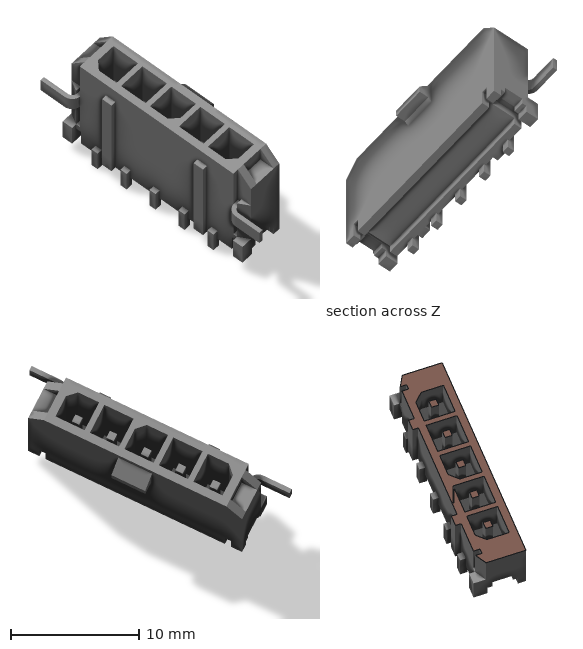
import cadquery as cq


HEIGHT = 9.9
CORE_LENGTH = 15.9
CORE_DEPTH = 3.9
FULL_LENGTH = 18.6
END_DEPTH = 3.35
SHOULDER_Z = 8.51
BACK_Y = CORE_DEPTH / 2
FRONT_Y = -CORE_DEPTH / 2
END_FRONT_Y = BACK_Y - END_DEPTH
CORE_X = CORE_LENGTH / 2
END_X = FULL_LENGTH / 2
WALL = 0.68

STANDOFF = 0.48
PROUD_Y = FRONT_Y - STANDOFF
RIB_WIDTH = 0.97
RIB_SPACING = 9.49

FOOT_WIDTH = 0.97
FOOT_X = END_X - FOOT_WIDTH
FOOT_TOP_Z = 2.04
SLOT_INNER_X = 7.8
SLOT_HEIGHT = 1.5
CHANNEL_HEIGHT = 0.77
CHANNEL_DEPTH = 2.54
WINDOW_TOP_Z = 1.35
WINDOW_DEPTH = 1.72

WEDGE_TOP_Z = 6.38

TAB_SPAN = 22.65
TAB_Z = 5.28
TAB_HEIGHT = 1.31
TAB_THICKNESS = FOOT_X - CORE_X
TAB_FRONT_Y = -2.72
TAB_BEND_RADIUS = 0.9
TAB_EMBED = 0.23

CIRCUITS = 5
PIN_ROW_LENGTH = 12.0
PITCH = PIN_ROW_LENGTH / (CIRCUITS - 1)
CAVITY_SIZE = 2.54
CAVITY_FLOOR_Z = 2.04
KEY_CHAMFER = 0.7
KEYED_CORNERS = {0: -1, 2: 1, 4: 1}
PIN_SIZE = 0.63
PIN_TOP_Z = 7.25
LEG_TOP_Z = 1.02
LEG_BOTTOM_Z = -1.0

LATCH_WIDTH = 2.95
LATCH_REACH = 1.2
LATCH_TOP_Z = 9.3
LATCH_NOSE_TOP_Z = 8.17
LATCH_NOSE_BOTTOM_Z = 7.45
LATCH_ROOT_CHAMFER = 0.35

SIDES = (-1, 1)


def block(x_range, y_range, z_range):
    """Box between two limits on each axis, given in either order."""
    lows = [min(limits) for limits in (x_range, y_range, z_range)]
    sizes = [abs(limits[1] - limits[0]) for limits in (x_range, y_range, z_range)]
    return cq.Workplane("XY").box(*sizes, centered=False).translate(tuple(lows))


def prism(points, z_bottom, z_top):
    """Upright prism over a polygon in XY."""
    return cq.Workplane("XY").workplane(offset=z_bottom).polyline(points).close().extrude(z_top - z_bottom)


def circuit_x(index):
    return (index - (CIRCUITS - 1) / 2) * PITCH


def housing():
    """Core with thinner ends whose upper outer corners slope up to the core."""
    core = block((-CORE_X, CORE_X), (FRONT_Y, BACK_Y), (0, HEIGHT))
    ends = (
        cq.Workplane("XZ", origin=(0, BACK_Y, 0))
        .polyline([
            (-END_X, 0), (END_X, 0), (END_X, SHOULDER_Z),
            (CORE_X, HEIGHT), (-CORE_X, HEIGHT), (-END_X, SHOULDER_Z),
        ])
        .close()
        .extrude(END_DEPTH)
    )
    return core.union(ends)


def end_supports(side):
    """Foot, web joining it to the core, and the tapered wedge above it."""
    foot = block((side * FOOT_X, side * END_X), (PROUD_Y, END_FRONT_Y), (0, FOOT_TOP_Z))
    web = block((side * CORE_X, side * FOOT_X), (FRONT_Y, END_FRONT_Y), (0, FOOT_TOP_Z))
    wedge = prism(
        [(side * FOOT_X, END_FRONT_Y), (side * END_X, END_FRONT_Y), (side * FOOT_X, FRONT_Y)],
        FOOT_TOP_Z, WEDGE_TOP_Z,
    )
    return foot.union(web).union(wedge)


def end_pocket(side):
    """Open pocket in the sloped shoulder, down to the foot of the slope."""
    return block(
        (side * CORE_X, side * END_X),
        (END_FRONT_Y + WALL, BACK_Y - WALL),
        (SHOULDER_Z, HEIGHT),
    )


def underside_slot(side):
    """Slot separating the foot from the core."""
    return block((side * SLOT_INNER_X, side * FOOT_X), (PROUD_Y, BACK_Y), (0, SLOT_HEIGHT))


def end_window(side):
    """Opening through the end wall above the underside channel."""
    return block(
        (side * FOOT_X, side * END_X),
        (-WINDOW_DEPTH / 2, WINDOW_DEPTH / 2),
        (0, WINDOW_TOP_Z),
    )


def underside_channel():
    channel_front_y = BACK_Y - WALL - CHANNEL_DEPTH
    return block((-END_X, END_X), (channel_front_y, BACK_Y - WALL), (0, CHANNEL_HEIGHT))


def cavity(index):
    """Terminal cavity; some have one chamfered front corner as a key."""
    half = CAVITY_SIZE / 2
    x = circuit_x(index)
    cut = block((x - half, x + half), (-half, half), (CAVITY_FLOOR_Z, HEIGHT))
    if index in KEYED_CORNERS:
        side = KEYED_CORNERS[index]
        corner_x = x + side * half
        cut = cut.cut(prism(
            [(corner_x, -half), (corner_x, -half + KEY_CHAMFER), (corner_x - side * KEY_CHAMFER, -half)],
            CAVITY_FLOOR_Z, HEIGHT,
        ))
    return cut


def terminal(index):
    """Contact post in the cavity and solder leg at the front."""
    half = PIN_SIZE / 2
    x = circuit_x(index)
    x_range = (x - half, x + half)
    post = block(x_range, (-half, half), (CAVITY_FLOOR_Z, PIN_TOP_Z))
    leg = block(x_range, (PROUD_Y, PROUD_Y + PIN_SIZE), (LEG_BOTTOM_Z, LEG_TOP_Z))
    return post.union(leg)


def rib(side):
    x = side * RIB_SPACING / 2
    return block((x - RIB_WIDTH / 2, x + RIB_WIDTH / 2), (PROUD_Y, FRONT_Y), (0, SHOULDER_Z))


def solder_tab(side):
    """Strip leaving the front of the end wall and bending outward."""
    root_y = END_FRONT_Y + TAB_EMBED
    tip_x = side * TAB_SPAN / 2
    inner_y = TAB_FRONT_Y + TAB_THICKNESS
    bend_x = side * (CORE_X + TAB_BEND_RADIUS)
    bend_y = TAB_FRONT_Y + TAB_BEND_RADIUS
    inner_radius = TAB_BEND_RADIUS - TAB_THICKNESS
    return (
        cq.Workplane("XY", origin=(0, 0, TAB_Z - TAB_HEIGHT / 2))
        .moveTo(side * CORE_X, root_y)
        .lineTo(side * CORE_X, bend_y)
        .tangentArcPoint((bend_x, TAB_FRONT_Y), relative=False)
        .lineTo(tip_x, TAB_FRONT_Y)
        .lineTo(tip_x, inner_y)
        .lineTo(bend_x, inner_y)
        .tangentArcPoint((side * FOOT_X, inner_y + inner_radius), relative=False)
        .lineTo(side * FOOT_X, root_y)
        .close()
        .extrude(TAB_HEIGHT)
    )


def latch():
    """Ramped catch on the back face."""
    nose_y = BACK_Y + LATCH_REACH
    return (
        cq.Workplane("YZ", origin=(-LATCH_WIDTH / 2, 0, 0))
        .polyline([
            (BACK_Y, LATCH_TOP_Z),
            (nose_y, LATCH_NOSE_TOP_Z),
            (nose_y, LATCH_NOSE_BOTTOM_Z),
            (BACK_Y + LATCH_ROOT_CHAMFER, LATCH_NOSE_BOTTOM_Z),
            (BACK_Y, LATCH_NOSE_BOTTOM_Z - LATCH_ROOT_CHAMFER),
        ])
        .close()
        .extrude(LATCH_WIDTH)
    )


result = housing().union(latch()).cut(underside_channel())

for side in SIDES:
    result = result.union(end_supports(side)).union(rib(side))
    result = result.cut(end_pocket(side)).cut(underside_slot(side)).cut(end_window(side))
    result = result.union(solder_tab(side))

for index in range(CIRCUITS):
    result = result.cut(cavity(index)).union(terminal(index))